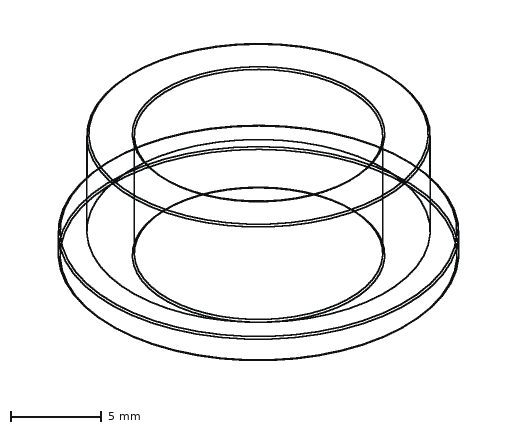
import cadquery as cq

flange_diameter = 22.23
body_diameter = 19.05
bore_diameter = 13.78
total_height = 7.94
flange_thickness = 1.58
edge_chamfer = 0.11

flange = (
    cq.Workplane("XY")
    .circle(flange_diameter / 2)
    .extrude(flange_thickness)
    .edges()
    .chamfer(edge_chamfer)
)

body = (
    cq.Workplane("XY")
    .circle(body_diameter / 2)
    .extrude(total_height)
    .faces(">Z")
    .edges()
    .chamfer(edge_chamfer)
)

bore = cq.Workplane("XY").circle(bore_diameter / 2).extrude(total_height)
bushing = flange.union(body).cut(bore)
bore_rims = bushing.edges(cq.selectors.RadiusNthSelector(0))
result = bore_rims.chamfer(edge_chamfer)